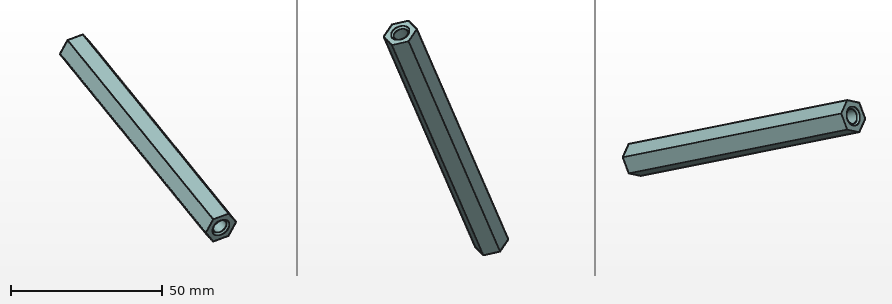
import cadquery as cq
import math

length = 100.0
across_flats = 10.0
across_corners = across_flats / math.cos(math.pi / 6)

hole_diameter = 5.0
hole_depth = 15.0
drill_tip_angle = 118.0
countersink_diameter = 6.4


def hexagonal_bar():
    """Bar with flats facing +Z and -Z and corners facing +Y and -Y."""
    return cq.Workplane("YZ").polygon(6, across_corners).extrude(length)


def blind_hole():
    """Cutter for the hole at X = 0: countersink, bore and drill tip."""
    radius = hole_diameter / 2
    mouth_radius = countersink_diameter / 2
    countersink_depth = mouth_radius - radius
    tip_depth = radius / math.tan(math.radians(drill_tip_angle / 2))
    profile = (
        cq.Workplane("XY")
        .moveTo(0, 0)
        .lineTo(0, mouth_radius)
        .lineTo(countersink_depth, radius)
        .lineTo(hole_depth, radius)
        .lineTo(hole_depth + tip_depth, 0)
        .close()
    )
    return profile.revolve(360, (0, 0, 0), (1, 0, 0))


near_hole = blind_hole()
far_hole = near_hole.mirror("YZ", (length / 2, 0, 0))
result = hexagonal_bar().cut(near_hole).cut(far_hole)